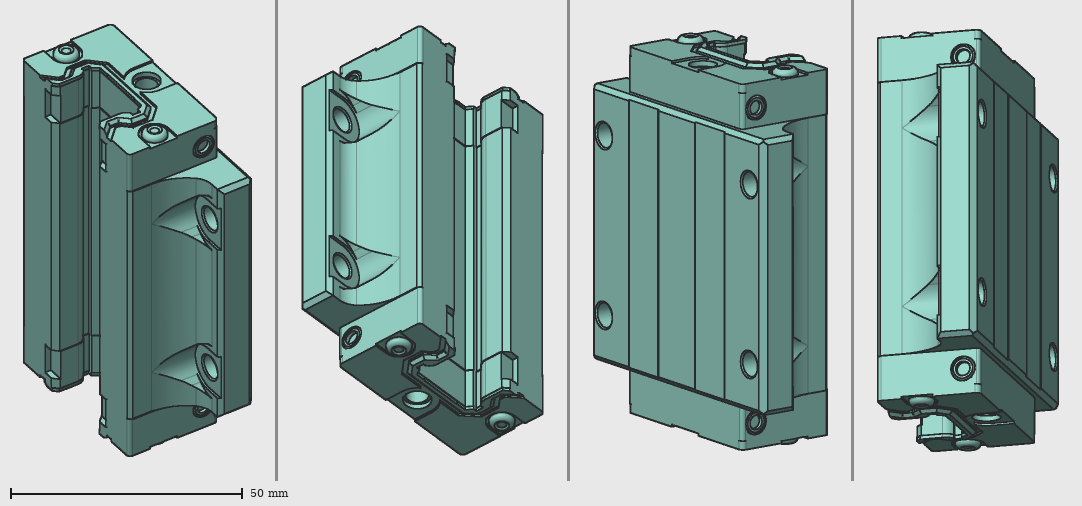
import math

import cadquery as cq


FLANGE_WIDTH = 62.95
HEIGHT = 25.5
OVERALL_LENGTH = 83.4
BLOCK_LENGTH = 61.4
CAP_LENGTH = 10.0
HALF_BLOCK = BLOCK_LENGTH / 2
CAP_END = HALF_BLOCK + CAP_LENGTH

FLANGE_BOTTOM = 16.5
FLANGE_CHAMFER = 1.1
FLANGE_TOP_SIDE_CHAMFER = 1.4
TORSO_HALF_WIDTH = 20.95
TORSO_CHAMFER = 0.9
RELIEF_INNER, RELIEF_OUTER = 6.7, 17.4
RELIEF_DEPTH = 0.2

HOLLOW_START_X = 28.2
HOLLOW_END_Y = 5.7
SMALL_ARC_RADIUS = 5.0

HOLE_X = 26.5
HOLE_Z = 20.0
HOLE_DIAMETER = 5.5
HOLE_MOUTH_DIAMETER = 6.2
SPOT_FACE_RADIUS = HOLE_X - TORSO_HALF_WIDTH
SPOT_FACE_DEPTH = 0.6
FLARE_HALF_WIDTH = 7.0

CAP_HALF_WIDTH = 20.75
CAP_TOP = 23.2
CAP_RADIUS = 0.85
END_PLATE_LENGTH = 2.0
END_PLATE_TOP_RADIUS = 1.1
FACE_RECESS_DEPTH = 0.5

CHANNEL_TOP = 11.6
CHANNEL_HALF_WIDTH = 8.0
CHANNEL_CORNER_WIDTH = 0.95
NECK_TOP = 6.0
NECK_ARC_WIDTH = 1.25
NECK_ARC_RADIUS = 2.65
GROOVE_HALF_WIDTH = 9.9
GROOVE_LOW, GROOVE_HIGH = 8.25, 10.1
BLOCK_CLEARANCE = 0.15
LIP_CLEARANCE = 0.05
LIP_CHANNEL_CHAMFER = 1.1
CHANNEL_CHAMFER = 1.35
SEAL_RELIEF_HALF_WIDTH = 5.4
SEAL_RELIEF_DEPTH = 0.15

NOTCH_OUTER_X = 11.85
NOTCH_LENGTH = 7.5
NOTCH_DEPTH = 1.5

SEAL_HEIGHT = 0.8
SEAL_RECESS_GAP = 1.15
SEAL_TOP, SEAL_TOP_HALF_WIDTH = 13.55, 9.0
SEAL_BULGE_LOW, SEAL_BULGE_HIGH, SEAL_BULGE_HALF_WIDTH = 6.8, 10.8, 11.75
SEAL_NECK_LOW, SEAL_NECK_HIGH, SEAL_NECK_HALF_WIDTH = 2.5, 4.7, 9.75
SEAL_LEG_EXTENSION = 3.5

SCREW_X, SCREW_Y = 17.2, 9.05
SCREW_POCKET_RADIUS = 3.5
SCREW_HEAD_DIAMETER = 5.7
SCREW_HEAD_ROUND = 1.24
SOCKET_DIAMETER = 3.2
SOCKET_FLOOR_DIAMETER = 2.0
SOCKET_DEPTH = 0.3

END_PORT_Y = 18.4
END_PORT_RECESS_RADIUS = 4.85
END_PORT_MOUTH, END_PORT_BORE = 6.2, 5.0
END_PORT_MOUTH_DEPTH = 1.2
END_PORT_DEPTH = 8.0
SIDE_PORT_Y = 19.4
SIDE_PORT_Z = 35.0
SIDE_PORT_MOUTH, SIDE_PLUG_FACE, SIDE_PLUG_SOCKET = 5.4, 4.4, 3.2
SIDE_GROOVE_DEPTH = 0.5
SIDE_SOCKET_DEPTH = 1.0


def box(x_range, y_range, z_range):
    """Box between the given limits."""
    size = [high - low for low, high in (x_range, y_range, z_range)]
    corner = (x_range[0], y_range[0], z_range[0])
    return cq.Workplane("XY").box(*size, centered=False).translate(corner)


def cylinder(diameter, length, start, direction):
    """Cylinder that starts at a point and runs along a direction."""
    solid = cq.Solid.makeCylinder(diameter / 2, length, cq.Vector(*start), cq.Vector(*direction))
    return cq.Workplane(solid)


def cone(start_diameter, end_diameter, length, start, direction):
    """Cone frustum that starts at a point and runs along a direction."""
    radii = (start_diameter / 2, end_diameter / 2)
    return cq.Workplane(cq.Solid.makeCone(*radii, length, cq.Vector(*start), cq.Vector(*direction)))


def both_sides(shape):
    """The shape together with its mirror image in X."""
    return shape.union(shape.mirror("YZ"))


def both_ends(shape):
    """The shape together with its mirror image in Z."""
    return shape.union(shape.mirror("XY"))


def channel_half(clearance, chamfer, z_start, length):
    """+X half of the rail channel, widened by a clearance, with a chamfered mouth."""
    top = CHANNEL_TOP + clearance
    neck_x = CHANNEL_HALF_WIDTH + clearance
    groove_x = GROOVE_HALF_WIDTH + clearance
    arc_x = neck_x + NECK_ARC_WIDTH
    corner_x = neck_x + CHANNEL_CORNER_WIDTH
    return (
        cq.Workplane("XY", origin=(0, 0, z_start))
        .moveTo(0, 0)
        .lineTo(neck_x + chamfer, 0)
        .lineTo(neck_x, chamfer)
        .lineTo(neck_x, NECK_TOP)
        .radiusArc((arc_x, GROOVE_LOW), NECK_ARC_RADIUS)
        .lineTo(groove_x, GROOVE_LOW)
        .lineTo(groove_x, GROOVE_HIGH)
        .lineTo(corner_x, GROOVE_HIGH)
        .lineTo(neck_x, top)
        .lineTo(0, top)
        .close()
        .extrude(length)
    )


def hollow_fill():
    """Web on the +X side between flange and torso, bounded by two tangent arcs."""
    small_y = FLANGE_BOTTOM - SMALL_ARC_RADIUS
    run = HOLLOW_START_X - TORSO_HALF_WIDTH
    rise = small_y - HOLLOW_END_Y
    large_radius = (run**2 + rise**2 - SMALL_ARC_RADIUS**2) / (2 * (run - SMALL_ARC_RADIUS))
    large_x = TORSO_HALF_WIDTH + large_radius
    blend = math.atan2(rise, large_x - HOLLOW_START_X)

    def on_small(angle):
        return (
            HOLLOW_START_X - SMALL_ARC_RADIUS * math.cos(angle),
            small_y + SMALL_ARC_RADIUS * math.sin(angle),
        )

    def on_large(angle):
        return (
            large_x - large_radius * math.cos(angle),
            HOLLOW_END_Y + large_radius * math.sin(angle),
        )

    return (
        cq.Workplane("XY", origin=(0, 0, -HALF_BLOCK))
        .moveTo(HOLLOW_START_X, FLANGE_BOTTOM)
        .threePointArc(on_small((blend + math.pi / 2) / 2), on_small(blend))
        .threePointArc(on_large(blend / 2), on_large(0))
        .lineTo(0, HOLLOW_END_Y)
        .lineTo(0, FLANGE_BOTTOM)
        .close()
        .extrude(BLOCK_LENGTH)
    )


def make_block():
    """Flanged steel block with the rail channel, before its mounting holes."""
    half_flange = FLANGE_WIDTH / 2
    z_range = (-HALF_BLOCK, HALF_BLOCK)
    flange = box((-half_flange, half_flange), (FLANGE_BOTTOM, HEIGHT), z_range)
    flange = flange.edges("(|Z and <Y) or |Y or (|X and >Y)").chamfer(FLANGE_CHAMFER)
    torso = box((-TORSO_HALF_WIDTH, TORSO_HALF_WIDTH), (0, FLANGE_BOTTOM), z_range)
    torso = torso.edges("|Z and <Y").chamfer(TORSO_CHAMFER)
    block = flange.union(torso).union(both_sides(hollow_fill()))
    channel = channel_half(BLOCK_CLEARANCE, CHANNEL_CHAMFER, -HALF_BLOCK, BLOCK_LENGTH)
    side_bevel = (
        cq.Workplane("XY", origin=(0, 0, -HALF_BLOCK))
        .moveTo(half_flange, HEIGHT)
        .lineTo(half_flange - FLANGE_TOP_SIDE_CHAMFER, HEIGHT)
        .lineTo(half_flange, HEIGHT - FLANGE_TOP_SIDE_CHAMFER)
        .close()
        .extrude(BLOCK_LENGTH)
    )
    relief = box((RELIEF_INNER, RELIEF_OUTER), (HEIGHT - RELIEF_DEPTH, HEIGHT), z_range)
    return block.cut(both_sides(channel)).cut(both_sides(side_bevel)).cut(both_sides(relief))


def mounting_hole():
    """Cutter for one mounting hole with its spot face and flared clearance pocket."""
    r = SPOT_FACE_RADIUS
    diagonal = r * math.sqrt(0.5)
    flare_outer_x = HOLLOW_START_X - HOLE_X
    flare_radius = (r * math.sqrt(2) + flare_outer_x - FLARE_HALF_WIDTH) / (math.sqrt(2) - 1)
    blend_x = flare_outer_x - flare_radius * math.sqrt(0.5)
    blend_z = FLARE_HALF_WIDTH - flare_radius * (1 - math.sqrt(0.5))
    pocket = (
        cq.Workplane("XZ", origin=(HOLE_X, FLANGE_BOTTOM, HOLE_Z))
        .moveTo(flare_outer_x, FLARE_HALF_WIDTH)
        .radiusArc((blend_x, blend_z), -flare_radius)
        .lineTo(-diagonal, diagonal)
        .threePointArc((-r, 0), (-diagonal, -diagonal))
        .lineTo(blend_x, -blend_z)
        .radiusArc((flare_outer_x, -FLARE_HALF_WIDTH), -flare_radius)
        .close()
        .extrude(FLANGE_BOTTOM - HOLLOW_END_Y)
    )
    floor = FLANGE_BOTTOM + SPOT_FACE_DEPTH
    spot_face = cylinder(2 * r, floor - HOLLOW_END_Y, (HOLE_X, HOLLOW_END_Y, HOLE_Z), (0, 1, 0))
    side_slot = box((HOLE_X, FLANGE_WIDTH / 2), (FLANGE_BOTTOM, floor), (HOLE_Z - r, HOLE_Z + r))
    bore = cylinder(HOLE_DIAMETER, HEIGHT - floor, (HOLE_X, floor, HOLE_Z), (0, 1, 0))
    mouth_depth = (HOLE_MOUTH_DIAMETER - HOLE_DIAMETER) / 2
    cutter = pocket.union(spot_face).union(side_slot).union(bore)
    for y, direction in ((floor, 1), (HEIGHT, -1)):
        start = (HOLE_X, y, HOLE_Z)
        mouth = cone(HOLE_MOUTH_DIAMETER, HOLE_DIAMETER, mouth_depth, start, (0, direction, 0))
        cutter = cutter.union(mouth)
    return cutter


def seal_outline(z, margin):
    """Wire around the seal lip, grown by a margin; its legs run on below Y = 0."""
    right = [
        (SEAL_NECK_HALF_WIDTH + SEAL_NECK_LOW + SEAL_LEG_EXTENSION, -SEAL_LEG_EXTENSION),
        (SEAL_NECK_HALF_WIDTH, SEAL_NECK_LOW),
        (SEAL_NECK_HALF_WIDTH, SEAL_NECK_HIGH),
        (SEAL_BULGE_HALF_WIDTH, SEAL_BULGE_LOW),
        (SEAL_BULGE_HALF_WIDTH, SEAL_BULGE_HIGH),
        (SEAL_TOP_HALF_WIDTH, SEAL_TOP),
    ]
    left = [(-x, y) for x, y in reversed(right)]
    outline = cq.Workplane("XY", origin=(0, 0, z)).polyline(right + left).close()
    if margin:
        outline = outline.offset2D(margin, "intersection")
    return outline


def screw():
    """Button head screw seated in its pocket at the +X, +Z corner."""
    seat = CAP_END - FACE_RECESS_DEPTH
    top = OVERALL_LENGTH / 2
    head = cylinder(SCREW_HEAD_DIAMETER, top - seat, (SCREW_X, SCREW_Y, seat), (0, 0, 1))
    head = head.faces(">Z").edges().fillet(SCREW_HEAD_ROUND)
    start = (SCREW_X, SCREW_Y, top)
    return head.cut(cone(SOCKET_DIAMETER, SOCKET_FLOOR_DIAMETER, SOCKET_DEPTH, start, (0, 0, -1)))


def cap_body():
    """Rounded cap with a thin end plate that is rounded a little more on top."""

    def slab(z_start, z_end, top_radius):
        blank = box((-CAP_HALF_WIDTH, CAP_HALF_WIDTH), (0, CAP_TOP), (z_start, z_end))
        return blank.edges("|Z and <Y").fillet(CAP_RADIUS).edges("|Z and >Y").fillet(top_radius)

    plate_start = CAP_END - END_PLATE_LENGTH
    cap = slab(HALF_BLOCK, plate_start, CAP_RADIUS)
    return cap.union(slab(plate_start, CAP_END, END_PLATE_TOP_RADIUS))


def face_recesses():
    """Shallow recesses in the end face for the seal, the screws and the end port."""
    floor = CAP_END - FACE_RECESS_DEPTH
    z_range = (floor, CAP_END)
    seal_recess = seal_outline(floor, SEAL_RECESS_GAP).extrude(FACE_RECESS_DEPTH)
    port_recess = cylinder(2 * END_PORT_RECESS_RADIUS, FACE_RECESS_DEPTH, (0, END_PORT_Y, floor), (0, 0, 1))
    port_slot = box((-END_PORT_RECESS_RADIUS, END_PORT_RECESS_RADIUS), (END_PORT_Y, CAP_TOP), z_range)
    start = (SCREW_X, SCREW_Y, floor)
    pocket = cylinder(2 * SCREW_POCKET_RADIUS, FACE_RECESS_DEPTH, start, (0, 0, 1))
    pocket_y = (SCREW_Y - SCREW_POCKET_RADIUS, SCREW_Y + SCREW_POCKET_RADIUS)
    pocket = pocket.union(box((SCREW_X, CAP_HALF_WIDTH), pocket_y, z_range))
    return seal_recess.union(port_recess).union(port_slot).union(both_sides(pocket))


def ports():
    """Stepped end port, and the two side ports closed by beveled plugs with a socket."""
    floor = CAP_END - FACE_RECESS_DEPTH
    end_start, inward = (0, END_PORT_Y, floor), (0, 0, -1)
    end_port = cylinder(END_PORT_BORE, END_PORT_DEPTH, end_start, inward)
    end_port = end_port.union(cylinder(END_PORT_MOUTH, END_PORT_MOUTH_DEPTH, end_start, inward))
    side_start, inward = (CAP_HALF_WIDTH, SIDE_PORT_Y, SIDE_PORT_Z), (-1, 0, 0)
    plug = cone(SIDE_PLUG_FACE, SIDE_PORT_MOUTH, SIDE_GROOVE_DEPTH, side_start, inward)
    side_port = cylinder(SIDE_PORT_MOUTH, SIDE_GROOVE_DEPTH, side_start, inward).cut(plug)
    side_port = side_port.union(cylinder(SIDE_PLUG_SOCKET, SIDE_SOCKET_DEPTH, side_start, inward))
    return end_port.union(both_sides(side_port))


def seal():
    """Seal lip seated in the end face, beveled at 45 degrees above it."""
    base = seal_outline(CAP_END - FACE_RECESS_DEPTH, 0).extrude(FACE_RECESS_DEPTH)
    lip = seal_outline(CAP_END, 0).extrude(SEAL_HEIGHT, taper=45)
    half_flange = FLANGE_WIDTH / 2
    below = box((-half_flange, half_flange), (-2 * SEAL_LEG_EXTENSION, 0), (HALF_BLOCK, OVERALL_LENGTH))
    return base.union(lip).cut(below)


def make_cap():
    """Complete end cap at +Z."""
    cap = cap_body().cut(face_recesses()).union(seal())
    cap = cap.cut(both_sides(channel_half(0, CHANNEL_CHAMFER, HALF_BLOCK, CAP_LENGTH)))
    cap = cap.cut(both_sides(channel_half(LIP_CLEARANCE, LIP_CHANNEL_CHAMFER, CAP_END, SEAL_HEIGHT)))
    z_range = (CAP_END, CAP_END + SEAL_HEIGHT)
    relief_x = (-SEAL_RELIEF_HALF_WIDTH, SEAL_RELIEF_HALF_WIDTH)
    cap = cap.cut(box(relief_x, (CHANNEL_TOP, CHANNEL_TOP + SEAL_RELIEF_DEPTH), z_range))
    notch_x = (CHANNEL_HALF_WIDTH, NOTCH_OUTER_X)
    notch = box(notch_x, (0, NOTCH_DEPTH), (HALF_BLOCK, HALF_BLOCK + NOTCH_LENGTH))
    return cap.cut(both_sides(notch)).cut(ports()).union(both_sides(screw()))


block = make_block().cut(both_ends(both_sides(mounting_hole())))
result = block.union(both_ends(make_cap()))